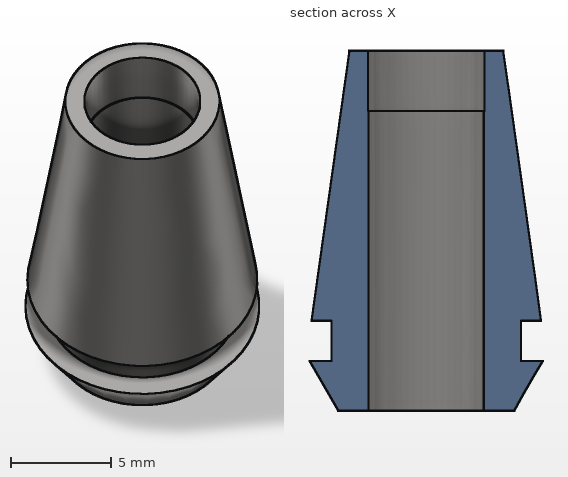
import cadquery as cq
import math

total_height = 18.0
rim_height = 2.5
groove_height = 2.0
body_base = rim_height + groove_height

rim_diameter = 11.7
rim_angle = 30.0
groove_diameter = 9.5
body_diameter = 11.5
body_angle = 8.0

upper_bore_diameter = 5.8
lower_bore_diameter = 5.75
upper_bore_depth = 3.0


def tapered_radius(large_diameter, angle, length):
    """Radius at the small end of a cone."""
    return large_diameter / 2 - length * math.tan(math.radians(angle))


bottom_radius = tapered_radius(rim_diameter, rim_angle, rim_height)
top_radius = tapered_radius(body_diameter, body_angle, total_height - body_base)
bore_step = total_height - upper_bore_depth

profile = (
    cq.Workplane("YZ")
    .moveTo(lower_bore_diameter / 2, 0)
    .lineTo(bottom_radius, 0)
    .lineTo(rim_diameter / 2, rim_height)
    .lineTo(groove_diameter / 2, rim_height)
    .lineTo(groove_diameter / 2, body_base)
    .lineTo(body_diameter / 2, body_base)
    .lineTo(top_radius, total_height)
    .lineTo(upper_bore_diameter / 2, total_height)
    .lineTo(upper_bore_diameter / 2, bore_step)
    .lineTo(lower_bore_diameter / 2, bore_step)
    .close()
)

result = profile.revolve(360, (0, 0), (0, 1))